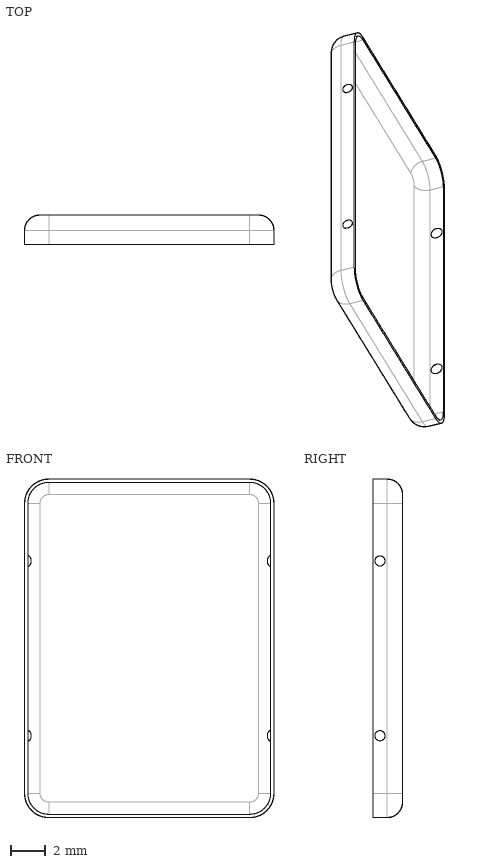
import cadquery as cq

width = 14.3
depth = 1.7
height = 19.4
wall = 0.2
corner_radius = 1.4
back_edge_radius = 0.9

dimple_radius = 0.3
dimple_shell = 0.1
dimple_spacing = 10.01
bump_radius = dimple_radius + dimple_shell
dimple_y = (depth - back_edge_radius) / 2


def rounded_block(inset):
    """Block inset from the outer shell on every face but the open front."""
    return (
        cq.Workplane("XZ")
        .rect(width - 2 * inset, height - 2 * inset)
        .extrude(-(depth - inset))
        .edges("|Y")
        .fillet(corner_radius - inset)
        .faces(">Y")
        .edges()
        .fillet(back_edge_radius - inset)
    )


def half_ball(radius, side, z):
    """Half ball reaching inwards from the outer face on one side (-1 or 1)."""
    centre = cq.Vector(side * width / 2, dimple_y, z)
    inward = cq.Vector(-side, 0, 0)
    return cq.Workplane(cq.Solid.makeSphere(radius, centre, inward, 0, 90, 360))


result = rounded_block(0).cut(rounded_block(wall))

for side in (-1, 1):
    for z in (-dimple_spacing / 2, dimple_spacing / 2):
        result = result.union(half_ball(bump_radius, side, z))
        result = result.cut(half_ball(dimple_radius, side, z))